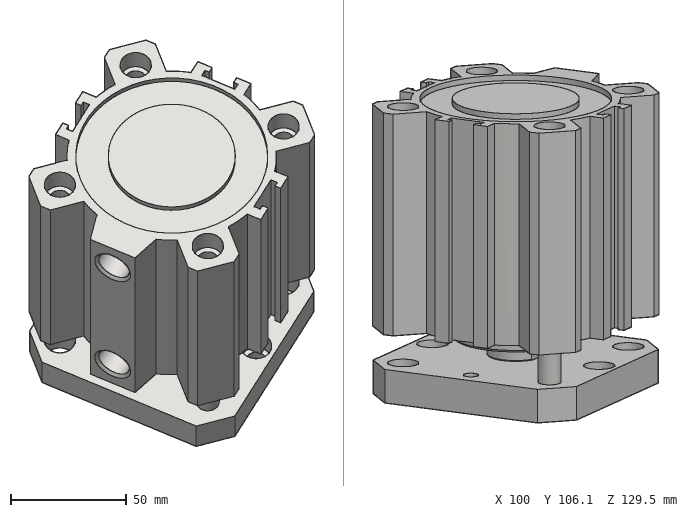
import cadquery as cq

width = 100.0
total_height = 129.5
half_width = width / 2

plate_thickness = 15.0
plate_corner_cut = 12.4
bolt_offset = 36.0
access_hole_dia = 13.5
side_hole_offset = 41.0
side_hole_dia = 8.5
side_counterbore_dia = 13.5
side_counterbore_depth = 10.4
tapped_hole_dia = 6.6
guide_rod_dia = 10.0
piston_rod_dia = 25.0
piston_rod_chamfer = 0.5
flats_width = 21.9
flats_height = 5.8

body_bottom = 30.4
body_height = total_height - body_bottom
barrel_dia = 90.6
lug_width = 23.3
lug_corner_cut = 11.8
rail_width = 25.9
slot_opening = 11.9
slot_inner_width = 16.0
slot_floor = 44.2
slot_lip_inside = 47.1
port_face = 56.1
port_face_width = 21.8
port_block_root = 42.7
port_block_root_width = 29.0
port_end_distance = 14.0
port_dia = 14.9
port_chamfer = 1.3
port_depth = 13.0
body_hole_dia = 9.0
body_counterbore_dia = 13.5
body_counterbore_depth = 10.4
cap_recess_dia = 83.1
cap_boss_dia = 55.0
cap_recess_depth = 2.5
nose_dia = 55.0
nose_height = 7.5
nose_chamfer = 0.9
nose_bottom = body_bottom - nose_height

corner_points = [(sx * bolt_offset, sy * bolt_offset) for sx in (-1, 1) for sy in (-1, 1)]
guide_rod_points = [(-bolt_offset, bolt_offset), (bolt_offset, -bolt_offset)]
access_points = [(-bolt_offset, -bolt_offset), (bolt_offset, bolt_offset)]


def at_height(z):
    return cq.Workplane("XY", origin=(0, 0, z))


def octagonal_block(z, height, corner_cut):
    """Square block of the full width with its four upright corners cut at 45 degrees."""
    return at_height(z).rect(width, width).extrude(height).edges("|Z").chamfer(corner_cut)


def plate_base():
    """Plate with access holes in two corners, counterbored holes on X and tapped holes on Y."""
    plate = octagonal_block(0, plate_thickness, plate_corner_cut)
    top = at_height(plate_thickness)
    access_holes = top.pushPoints(access_points).circle(access_hole_dia / 2).extrude(-plate_thickness)
    side_points = [(-side_hole_offset, 0), (side_hole_offset, 0)]
    side_holes = top.pushPoints(side_points).circle(side_hole_dia / 2).extrude(-plate_thickness)
    counterbores = (
        top.pushPoints(side_points).circle(side_counterbore_dia / 2).extrude(-side_counterbore_depth)
    )
    tapped_points = [(0, -side_hole_offset), (0, side_hole_offset)]
    tapped_holes = top.pushPoints(tapped_points).circle(tapped_hole_dia / 2).extrude(-plate_thickness)
    return plate.cut(access_holes).cut(side_holes).cut(counterbores).cut(tapped_holes)


def piston_rod():
    """Round rod from the plate to the nose, with two wrench flats facing -X and +X."""
    length = nose_bottom - plate_thickness
    rod = at_height(plate_thickness).circle(piston_rod_dia / 2).extrude(length)
    rod = rod.faces("<Z").chamfer(piston_rod_chamfer)
    lower = at_height(plate_thickness).rect(flats_width, piston_rod_dia).extrude(flats_height)
    upper = at_height(plate_thickness + flats_height)
    upper = upper.rect(piston_rod_dia, piston_rod_dia).extrude(length - flats_height)
    return rod.intersect(lower.union(upper))


def make_plate():
    """Plate and the rods fixed to it, which end against the cylinder."""
    guide_rods = at_height(plate_thickness).pushPoints(guide_rod_points)
    guide_rods = guide_rods.circle(guide_rod_dia / 2).extrude(body_bottom - plate_thickness)
    return plate_base().union(guide_rods).union(piston_rod())


def corner_lugs():
    """Two diagonal bars that form the four corner lugs."""
    bars = cq.Workplane("XY")
    for angle in (45, 135):
        bar = at_height(body_bottom).transformed(rotate=(0, 0, angle))
        bars = bars.add(bar.rect(2 * width, lug_width).extrude(body_height))
    return bars.combine().intersect(octagonal_block(body_bottom, body_height, lug_corner_cut))


def sensor_rail(angle):
    """Rail with a T-slot, made on +X and turned about the axis."""
    rail = at_height(body_bottom).center(half_width / 2, 0).rect(half_width, rail_width)
    return rail.extrude(body_height).rotate((0, 0, 0), (0, 0, 1), angle)


def sensor_slot(angle):
    """T-slot of a rail, made on +X and turned about the axis."""
    profile = at_height(body_bottom).polyline([
        (slot_floor, -slot_inner_width / 2),
        (slot_lip_inside, -slot_inner_width / 2),
        (slot_lip_inside, -slot_opening / 2),
        (half_width, -slot_opening / 2),
        (half_width, slot_opening / 2),
        (slot_lip_inside, slot_opening / 2),
        (slot_lip_inside, slot_inner_width / 2),
        (slot_floor, slot_inner_width / 2),
    ]).close()
    return profile.extrude(body_height).rotate((0, 0, 0), (0, 0, 1), angle)


def port_block():
    """Tapered block on -Y that carries the ports."""
    return at_height(body_bottom).polyline([
        (-port_block_root_width / 2, -port_block_root),
        (-port_face_width / 2, -port_face),
        (port_face_width / 2, -port_face),
        (port_block_root_width / 2, -port_block_root),
    ]).close().extrude(body_height)


def port(z):
    """Blind port with a chamfered mouth, revolved about its own Y axis."""
    radius = port_dia / 2
    profile = cq.Workplane("XY", origin=(0, -port_face, z)).polyline([
        (0, 0),
        (radius + port_chamfer, 0),
        (radius, port_chamfer),
        (radius, port_depth),
        (0, port_depth),
    ]).close()
    return profile.revolve(360, (0, 0), (0, 1))


def make_cylinder():
    """Cylinder: barrel, lugs, sensor rails, port block and nose."""
    body = at_height(body_bottom).circle(barrel_dia / 2).extrude(body_height)
    body = body.union(corner_lugs()).union(port_block())
    rail_angles = (0, 90, 180)
    for angle in rail_angles:
        body = body.union(sensor_rail(angle))
    for angle in rail_angles:
        body = body.cut(sensor_slot(angle))

    nose = at_height(nose_bottom).circle(nose_dia / 2).extrude(nose_height)
    body = body.union(nose.faces("<Z").chamfer(nose_chamfer))

    top = at_height(total_height)
    cap_recess = top.circle(cap_recess_dia / 2).circle(cap_boss_dia / 2).extrude(-cap_recess_depth)
    holes = top.pushPoints(corner_points).circle(body_hole_dia / 2).extrude(-body_height)
    counterbores = top.pushPoints(corner_points).circle(body_counterbore_dia / 2)
    body = body.cut(cap_recess).cut(holes).cut(counterbores.extrude(-body_counterbore_depth))

    for z in (body_bottom + port_end_distance, total_height - port_end_distance):
        body = body.cut(port(z))
    return body


plate = make_plate()
cylinder = make_cylinder()

result = cq.Compound.makeCompound([plate.solids().val(), cylinder.solids().val()])